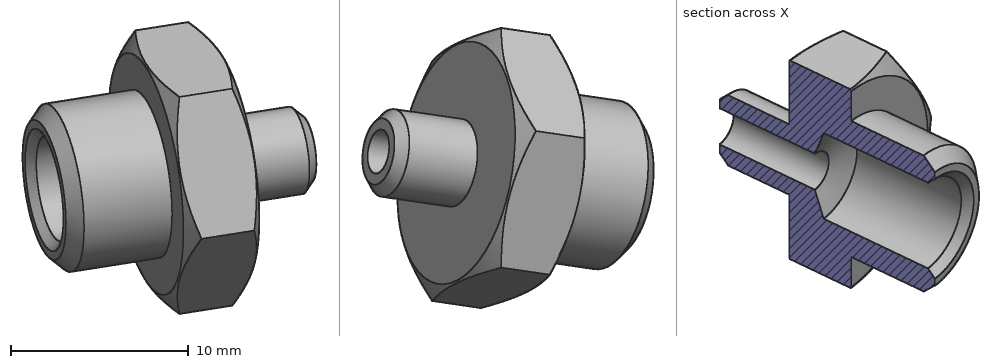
import cadquery as cq
import math

total_length = 15.5
hex_corners = 16.17
hex_length = 4.5
hex_chamfer_angle = 30.0
hex_face_diameter = 13.8
stub_length = 5.0
stub_diameter = 5.0
stub_chamfer = 0.61
body_diameter = 9.6
body_chamfer = 0.81
mouth_diameter = 7.0
bore_diameter = 6.0
bore_depth = 8.0
drill_point_angle = 140.0
through_diameter = 2.5

hex_start = total_length - stub_length - hex_length
hex_end = hex_start + hex_length
hex_chamfer_length = (
    (hex_corners - hex_face_diameter) / 2 * math.tan(math.radians(hex_chamfer_angle))
)
mouth_depth = (mouth_diameter - bore_diameter) / 2
drill_point_length = (
    (bore_diameter - through_diameter) / 2 / math.tan(math.radians(drill_point_angle / 2))
)


def revolve_profile(points):
    """Turn a closed outline of (radius, Y) points about the Y axis."""
    return cq.Workplane("XY").polyline(points).close().revolve(360, (0, 0, 0), (0, 1, 0))


def make_hex():
    """Hexagon with corners on X, trimmed by a cone at both faces."""
    prism = (
        cq.Workplane("XZ", origin=(0, hex_start, 0))
        .polygon(6, hex_corners)
        .extrude(-hex_length)
    )
    trim = revolve_profile([
        (0, hex_start),
        (hex_face_diameter / 2, hex_start),
        (hex_corners / 2, hex_start + hex_chamfer_length),
        (hex_corners / 2, hex_end - hex_chamfer_length),
        (hex_face_diameter / 2, hex_end),
        (0, hex_end),
    ])
    return prism.intersect(trim)


def make_body():
    """Wide cylinder with a chamfered open end."""
    radius = body_diameter / 2
    return revolve_profile([
        (0, 0),
        (radius - body_chamfer, 0),
        (radius, body_chamfer),
        (radius, hex_start),
        (0, hex_start),
    ])


def make_stub():
    """Narrow cylinder with a chamfered far end."""
    radius = stub_diameter / 2
    return revolve_profile([
        (0, hex_end),
        (radius, hex_end),
        (radius, total_length - stub_chamfer),
        (radius - stub_chamfer, total_length),
        (0, total_length),
    ])


def make_bore():
    """Countersunk bore with a drill point leading into the through hole."""
    return revolve_profile([
        (0, 0),
        (mouth_diameter / 2, 0),
        (bore_diameter / 2, mouth_depth),
        (bore_diameter / 2, bore_depth),
        (through_diameter / 2, bore_depth + drill_point_length),
        (through_diameter / 2, total_length),
        (0, total_length),
    ])


result = make_body().union(make_hex()).union(make_stub()).cut(make_bore())